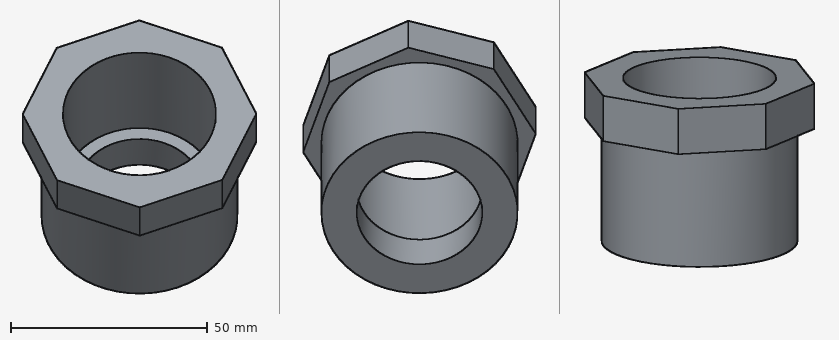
import cadquery as cq
import math

across_flats = 55.0
total_height = 43.0
collar_height = 12.0
body_diameter = 50.0
socket_diameter = 39.0
bore_diameter = 32.0
socket_depth = 32.0

collar_sides = 8
across_corners = across_flats / math.cos(math.pi / collar_sides)
body_height = total_height - collar_height

body = cq.Workplane("XY").circle(body_diameter / 2).extrude(body_height)

collar = (
    cq.Workplane("XY")
    .polygon(collar_sides, across_corners)
    .extrude(collar_height)
    .rotate((0, 0, 0), (0, 0, 1), 180 / collar_sides)
    .translate((0, 0, body_height))
)

bore = cq.Workplane("XY").circle(bore_diameter / 2).extrude(total_height)
socket = (
    cq.Workplane("XY", origin=(0, 0, total_height))
    .circle(socket_diameter / 2)
    .extrude(-socket_depth)
)

result = body.union(collar).cut(bore).cut(socket)